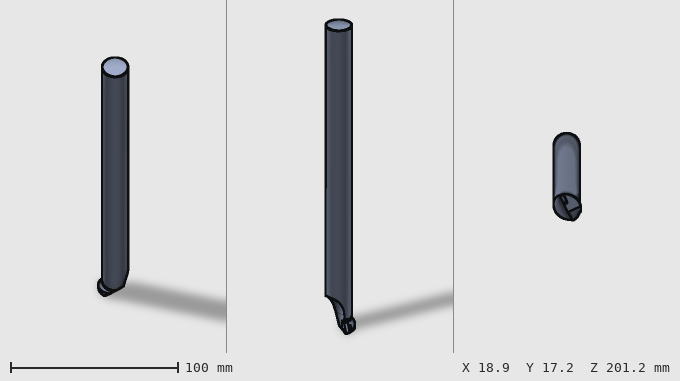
import cadquery as cq
import math

LENGTH = 201.2
SHANK_R = 15.9 / 2
SHANK_END_Z = 7.8
END_CHAMFER = 0.5

NECK_R = 7.55
NECK_TOP_Z = 7.0
NECK_Z = 6.2
FLARE_SLOPE = 0.7
HEAD_R = 9.5
HEAD_X = -1.5
HEAD_Y = 0.3
HEAD_BASE_Z = 0.7

RAKE_Y = -0.5
SCOOP_R = 13.5
SCOOP_Z = 9.0
SCOOP_TILT = 15.0

RELIEF_TOP_Z = 9.5
RELIEF_BASE_X = 0.5

GROOVE_D = 2.8
GROOVE_X = -8.7
GROOVE_Z = 7.6

INSERT_THICKNESS = 2.5
INSERT_CLEARANCE = 7.0
INSERT_BACK_X = -4.5
INSERT_TOP = (-7.6, 6.2)
INSERT_FLANK = (-10.97, 0.8)
INSERT_TIP = (-10.5, 0.0)
INSERT_INSET = INSERT_THICKNESS * math.tan(math.radians(INSERT_CLEARANCE))
OPEN_SIDE_X = -6.0
INSERT_BACK_Y = RAKE_Y - INSERT_THICKNESS

FLANK_FLAT_END_Y = -4.33
FLANK_FLAT_ANGLE = 25.0

CUT = 40.2


def make_shank_and_neck():
    shank = (
        cq.Workplane("XY", origin=(0, 0, SHANK_END_Z))
        .circle(SHANK_R)
        .extrude(LENGTH - SHANK_END_Z)
        .faces(">Z")
        .chamfer(END_CHAMFER)
    )
    neck = (
        cq.Workplane("XZ")
        .moveTo(0, NECK_Z)
        .lineTo(NECK_R, NECK_Z)
        .lineTo(NECK_R, NECK_TOP_Z)
        .lineTo(SHANK_R, SHANK_END_Z)
        .lineTo(0, SHANK_END_Z)
        .close()
        .revolve(360, (0, 0), (0, 1))
    )
    return shank.union(neck)


def make_head():
    base_r = NECK_R + FLARE_SLOPE * (NECK_Z - HEAD_BASE_Z)
    flare = (
        cq.Workplane("XZ")
        .polyline([(0, HEAD_BASE_Z), (base_r, HEAD_BASE_Z), (NECK_R, NECK_Z), (0, NECK_Z)])
        .close()
        .revolve(360, (0, 0), (0, 1))
    )
    rim = (
        cq.Workplane("XY", origin=(HEAD_X, HEAD_Y, HEAD_BASE_Z))
        .circle(HEAD_R)
        .extrude(NECK_Z - HEAD_BASE_Z)
    )
    return flare.intersect(rim)


def rake_cut():
    """Half-space above the rake face, plus the tilted round scoop at its upper end."""
    pivot = (0, RAKE_Y, SCOOP_Z)
    slab = (
        cq.Workplane("XZ", origin=(0, RAKE_Y, SCOOP_Z - CUT / 2))
        .rect(CUT, CUT)
        .extrude(-CUT)
    )
    scoop = (
        cq.Workplane("YZ", origin=(-CUT / 2, RAKE_Y + SCOOP_R, SCOOP_Z))
        .circle(SCOOP_R)
        .extrude(CUT)
    )
    axis_end = (0, RAKE_Y + 2, SCOOP_Z)
    return slab.union(scoop).rotate(pivot, axis_end, SCOOP_TILT)


def end_relief_cut():
    """Wedge on the +X side, below the slanted relief plane."""
    slope = (SHANK_R - RELIEF_BASE_X) / (RELIEF_TOP_Z - HEAD_BASE_Z)
    low_x = RELIEF_BASE_X - slope * HEAD_BASE_Z
    return (
        cq.Workplane("XZ")
        .polyline([(low_x, 0), (CUT, 0), (CUT, RELIEF_TOP_Z), (SHANK_R, RELIEF_TOP_Z)])
        .close()
        .extrude(CUT / 2, both=True)
    )


def groove_cut():
    return (
        cq.Workplane("XZ", origin=(GROOVE_X, 0, GROOVE_Z))
        .circle(GROOVE_D / 2)
        .extrude(CUT / 2)
    )


def flank_flat_cut():
    """Block whose inner face follows the insert flank from its back face."""
    run_x = INSERT_TOP[0] - INSERT_FLANK[0]
    run_z = INSERT_TOP[1] - INSERT_FLANK[1]
    flank_length = math.hypot(run_x, run_z)
    inset = INSERT_INSET * flank_length / run_z
    along = cq.Vector(run_x, 0, run_z).normalized()
    angle = math.radians(FLANK_FLAT_ANGLE)
    across = cq.Vector(math.sin(angle), -math.cos(angle), 0)
    start = cq.Vector(INSERT_FLANK[0] + inset, INSERT_BACK_Y, INSERT_FLANK[1])
    width = (INSERT_BACK_Y - FLANK_FLAT_END_Y) / math.cos(angle)
    plane = cq.Plane(start, along, across.cross(along))
    return cq.Workplane(plane).rect(2 * flank_length, 2 * width).extrude(CUT)


def insert_seat_cut():
    """Open side of the insert seat, so that the insert flank stands free."""
    top_z = INSERT_TOP[1] - INSERT_INSET
    return (
        cq.Workplane("XY", origin=(OPEN_SIDE_X, RAKE_Y, 0))
        .rect(-CUT, -INSERT_THICKNESS, centered=False)
        .extrude(top_z)
    )


def make_insert():
    return (
        cq.Workplane("XZ", origin=(0, RAKE_Y, 0))
        .moveTo(*INSERT_TIP)
        .lineTo(INSERT_BACK_X, HEAD_BASE_Z)
        .lineTo(INSERT_BACK_X, INSERT_TOP[1])
        .lineTo(*INSERT_TOP)
        .lineTo(*INSERT_FLANK)
        .close()
        .extrude(INSERT_THICKNESS, taper=INSERT_CLEARANCE)
    )


insert = make_insert()
bar = (
    make_shank_and_neck()
    .union(make_head().cut(flank_flat_cut()))
    .cut(rake_cut())
    .cut(end_relief_cut())
    .cut(groove_cut())
    .cut(insert_seat_cut())
    .cut(insert)
)
result = cq.Compound.makeCompound([*bar.vals(), insert.val()])